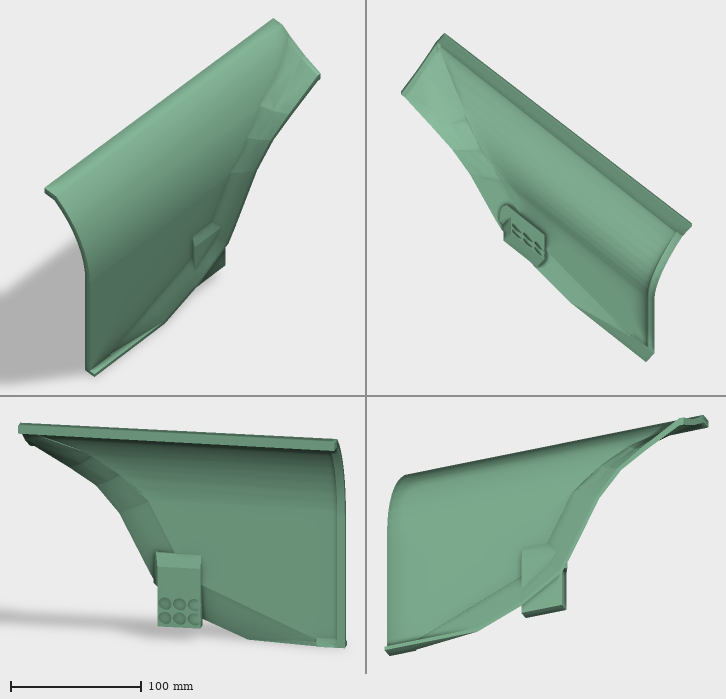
import cadquery as cq
import math

WIDTH = 54.0
LENGTH = 248
HEIGHT = 176.5

LIP_BOTTOM = 170.5
LIP_TAPER = 3.0
WALL_INNER_X = 44.1
WALL_OUTER_X = 49.0
RECESS_X = 46.1
INNER_BEND_Z = 105.6
RECESS_BEND_Z = 110.0
LIP_INNER_END = 11.0
LIP_OUTER_END = 13.0
RECESS_LIP_END = 12.0
FRONT_RIM = 6.0
BACK_RIM = 3.5

STATIONS = [
    (248, 170.1, 248, 146.3, 1.7, 6.5),
    (244.5, 168.5, 244.5, 146.3, 1.7, 6.5),
    (196.5, 145.5, 217.0, 130.5, 1.7, 5.0),
    (175.8, 129.7, 196.5, 117.3, 1.0, 4.0),
    (153.8, 109, 178.3, 96.2, 0.5, 3.2),
    (132.7, 68.0, 154.3, 49.5, 0, 3.2),
    (126.5, 59.5, 147.0, 37.0, 0, 3.2),
    (112.5, 44.5, 112.5, 14.6, 0, 3.2),
    (62, 22.3, 77.5, 0, 0, 3.2),
]
ROOT_OVERLAP = 1.5
ROOT_INSET = 0.5
FOOT_ROOT = (22.3, 5.2)
FOOT_EDGE_Y = 26.0

FOOT_HEIGHT = 3.2
FOOT_LIP_TOP = 6.7

PAD_Y = (112.5, 146.3)
PAD_Z = (10.2, 58.0)
PAD_SLOPE_TOP = 68.2
PAD_FACE_X = 43.0
PAD_BACK_X = 51.5
SHOULDER_Y = 150.8
SHOULDER_BOTTOM = 42.2
SOCKET_DIAMETER = 10.2
SOCKET_DEPTH = 2.5
SOCKET_PITCH = 11.5
SOCKET_CENTRE = (129, 22.8)
SOCKET_COLUMNS = 3
SOCKET_ROWS = 2


def bend_radius(wall_x, bend_z, end_x, end_z):
    """Radius of the bend that leaves the wall vertically and passes through its end point."""
    run = wall_x - end_x
    rise = end_z - bend_z
    return (run**2 + rise**2) / (2 * run)


OUTER_RADIUS = bend_radius(WALL_OUTER_X, INNER_BEND_Z, LIP_OUTER_END, HEIGHT)
INNER_RADIUS = bend_radius(WALL_INNER_X, INNER_BEND_Z, LIP_INNER_END, LIP_BOTTOM)
RECESS_RADIUS = bend_radius(RECESS_X, RECESS_BEND_Z, RECESS_LIP_END, LIP_BOTTOM)


def bend_x(z, wall_x, bend_z, radius):
    """X of a wall face and its bend at height z."""
    rise = max(z - bend_z, 0)
    return wall_x - radius + math.sqrt(radius**2 - rise**2)


def bend_middle(wall_x, bend_z, radius, end_z):
    """Point on a bend at half its height."""
    z = (bend_z + end_z) / 2
    return (bend_x(z, wall_x, bend_z, radius), z)


def sheet_strip(y_start, y_end, wall_x, bend_z, radius, lip_end):
    """A length of the bent sheet with the given inner face."""
    return (
        cq.Workplane("XZ", origin=(0, y_start, 0))
        .moveTo(0, LIP_BOTTOM)
        .lineTo(lip_end, LIP_BOTTOM)
        .threePointArc(bend_middle(wall_x, bend_z, radius, LIP_BOTTOM), (wall_x, bend_z))
        .lineTo(wall_x, 0)
        .lineTo(WALL_OUTER_X, 0)
        .lineTo(WALL_OUTER_X, INNER_BEND_Z)
        .threePointArc(
            bend_middle(WALL_OUTER_X, INNER_BEND_Z, OUTER_RADIUS, HEIGHT),
            (LIP_OUTER_END, HEIGHT),
        )
        .lineTo(0, HEIGHT)
        .close()
        .extrude(y_start - y_end)
    )


def make_sheet():
    """Recessed sheet with thicker end rims, cut along the flange roots, with a tapered lip."""
    full = (WALL_INNER_X, INNER_BEND_Z, INNER_RADIUS, LIP_INNER_END)
    recessed = (RECESS_X, RECESS_BEND_Z, RECESS_RADIUS, RECESS_LIP_END)
    sheet = sheet_strip(FRONT_RIM, LENGTH - BACK_RIM, *recessed)
    sheet = sheet.union(sheet_strip(LENGTH - BACK_RIM, LENGTH, *full))
    roots = [(root_y, root_z) for root_y, root_z, *_ in STATIONS]
    keep = (
        cq.Workplane("YZ")
        .polyline([(0, HEIGHT), (LENGTH, HEIGHT)] + roots + [FOOT_ROOT, (FOOT_EDGE_Y, 0), (0, 0)])
        .close()
        .extrude(WIDTH)
    )
    sheet = sheet.intersect(keep).union(sheet_strip(0, FRONT_RIM, *full))
    taper = (
        cq.Workplane("XY")
        .polyline([(0, 0), (LIP_TAPER, LENGTH), (0, LENGTH)])
        .close()
        .extrude(HEIGHT)
    )
    return sheet.cut(taper)


def flange_section(root_y, root_z, edge_y, edge_z, sag, thickness):
    """Six corners of a flange section: along the inner face, then back along the outer face."""
    direction = math.atan2(root_z - edge_z, root_y - edge_y)
    step_y = math.cos(direction)
    step_z = math.sin(direction)
    root_y += ROOT_OVERLAP * step_y
    root_z += ROOT_OVERLAP * step_z
    root_in = bend_x(root_z, RECESS_X, RECESS_BEND_Z, RECESS_RADIUS) + ROOT_INSET
    root_out = bend_x(root_z, WALL_OUTER_X, INNER_BEND_Z, OUTER_RADIUS) - ROOT_INSET
    top_y = edge_y + thickness * step_y
    top_z = edge_z + thickness * step_z
    middle_y = (root_y + edge_y) / 2
    middle_z = (root_z + edge_z) / 2 - sag
    return [
        cq.Vector(root_in, root_y, root_z),
        cq.Vector((root_in + WIDTH) / 2, middle_y, middle_z),
        cq.Vector(WIDTH, edge_y, edge_z),
        cq.Vector(WIDTH, top_y, top_z),
        cq.Vector((root_out + WIDTH) / 2, (root_y + top_y) / 2, (root_z + top_z) / 2 - sag),
        cq.Vector(root_out, root_y, root_z),
    ]


def flat_face(*corners):
    return cq.Face.makeFromWires(cq.Wire.makePolygon(corners, close=True))


def make_flange():
    """Band of ruled faces joining the flange sections and narrowing to the foot."""
    sections = [flange_section(*station) for station in STATIONS]
    foot_y, foot_z = FOOT_ROOT
    root_in = cq.Vector(RECESS_X + ROOT_INSET, foot_y, foot_z + ROOT_OVERLAP)
    root_out = cq.Vector(WALL_OUTER_X - ROOT_INSET, foot_y, foot_z + ROOT_OVERLAP)
    edge = cq.Vector(RECESS_X + ROOT_INSET, FOOT_EDGE_Y, 0)
    edge_top = cq.Vector(WALL_OUTER_X - ROOT_INSET, FOOT_EDGE_Y, FOOT_HEIGHT)
    sections.append(
        [root_in, (root_in + edge) / 2, edge, edge_top, (root_out + edge_top) / 2, root_out]
    )
    faces = []
    for here, after in zip(sections, sections[1:]):
        for i in range(len(here)):
            j = (i + 1) % len(here)
            here_side = cq.Edge.makeLine(here[i], here[j])
            after_side = cq.Edge.makeLine(after[i], after[j])
            faces.append(cq.Face.makeRuledSurface(here_side, after_side))
    faces.append(flat_face(*sections[0]))
    tip = sections[-1]
    faces.append(flat_face(*tip[:3], tip[5]))
    faces.append(flat_face(tip[2], *tip[3:]))
    solid = cq.Solid.makeSolid(cq.Shell.makeShell(faces))
    return cq.Workplane(solid.fix())


def make_foot():
    """Bottom plate, with a small sloping lip along the inner face of the wall."""
    edge_y = STATIONS[-1][2]
    plate = (
        cq.Workplane("XY")
        .polyline([(WALL_INNER_X, 0), (WIDTH, 0), (WIDTH, edge_y), (RECESS_X, FOOT_EDGE_Y)])
        .close()
        .extrude(FOOT_HEIGHT)
    )
    lip = (
        cq.Workplane("XZ")
        .polyline([
            (WALL_INNER_X, 0),
            (WALL_OUTER_X, 0),
            (WALL_OUTER_X, FOOT_LIP_TOP),
            (RECESS_X, FOOT_LIP_TOP),
        ])
        .close()
        .extrude(-FOOT_ROOT[0])
    )
    return plate.union(lip)


def pad_block(y_start, y_end):
    """Pad profile, sloping back to the wall at the top, over a range of Y."""
    return (
        cq.Workplane("XZ", origin=(0, y_start, 0))
        .polyline([
            (PAD_FACE_X, PAD_Z[0]),
            (PAD_FACE_X, PAD_Z[1]),
            (RECESS_X, PAD_SLOPE_TOP),
            (WALL_OUTER_X, PAD_SLOPE_TOP),
            (PAD_BACK_X, PAD_Z[1]),
            (PAD_BACK_X, PAD_Z[0]),
        ])
        .close()
        .extrude(y_start - y_end)
    )


def make_shoulder():
    """Tapered side that blends the pad into the flange."""
    taper = (
        cq.Workplane("XY", origin=(0, 0, SHOULDER_BOTTOM))
        .polyline([
            (PAD_FACE_X, PAD_Y[1]),
            (PAD_BACK_X, SHOULDER_Y),
            (PAD_BACK_X, PAD_Y[1]),
        ])
        .close()
        .extrude(PAD_SLOPE_TOP - SHOULDER_BOTTOM)
    )
    return pad_block(PAD_Y[1], SHOULDER_Y).intersect(taper)


def make_sockets():
    return (
        cq.Workplane("YZ", origin=(PAD_FACE_X, 0, 0))
        .center(*SOCKET_CENTRE)
        .rarray(SOCKET_PITCH, SOCKET_PITCH, SOCKET_COLUMNS, SOCKET_ROWS)
        .circle(SOCKET_DIAMETER / 2)
        .extrude(SOCKET_DEPTH)
    )


result = make_sheet().union(make_flange()).union(make_foot())
result = result.union(pad_block(*PAD_Y)).union(make_shoulder()).cut(make_sockets())